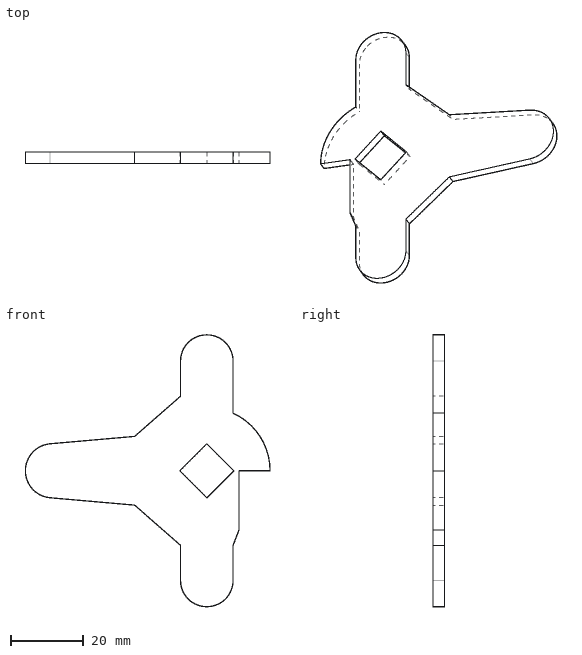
import cadquery as cq
import math

thickness = 3.2
arm_reach = 37.5
arm_radius = 7.3
handle_reach = 50.0
handle_radius = 7.5
handle_taper = math.radians(5)
knee_x = -19.9
shoulder_z = 20.55

cam_radius = 17.5
step_x = 8.9
step_bottom_z = -16.3

hole_half_diagonal = 7.4

arm_center_z = arm_reach - arm_radius
handle_center_x = handle_radius - handle_reach
tangent_x = handle_center_x - handle_radius * math.sin(handle_taper)
tangent_z = handle_radius * math.cos(handle_taper)
knee_z = tangent_z + (knee_x - tangent_x) * math.tan(handle_taper)

cam_start_angle = math.acos(arm_radius / cam_radius)
cam_start_z = cam_radius * math.sin(cam_start_angle)
cam_middle = (
    cam_radius * math.cos(cam_start_angle / 2),
    cam_radius * math.sin(cam_start_angle / 2),
)


def make_plate():
    """Three-armed plate with the cam and its step, centred on Y = 0."""
    return (
        cq.Workplane("XZ")
        .moveTo(tangent_x, tangent_z)
        .lineTo(knee_x, knee_z)
        .lineTo(-arm_radius, shoulder_z)
        .lineTo(-arm_radius, arm_center_z)
        .threePointArc((0, arm_reach), (arm_radius, arm_center_z))
        .lineTo(arm_radius, cam_start_z)
        .threePointArc(cam_middle, (cam_radius, 0))
        .lineTo(step_x, 0)
        .lineTo(step_x, step_bottom_z)
        .lineTo(arm_radius, -shoulder_z)
        .lineTo(arm_radius, -arm_center_z)
        .threePointArc((0, -arm_reach), (-arm_radius, -arm_center_z))
        .lineTo(-arm_radius, -shoulder_z)
        .lineTo(knee_x, -knee_z)
        .lineTo(tangent_x, -tangent_z)
        .threePointArc((-handle_reach, 0), (tangent_x, tangent_z))
        .close()
        .extrude(thickness / 2, both=True)
    )


def make_square_hole():
    """Square through cutter standing on one corner."""
    return (
        cq.Workplane("XZ")
        .polygon(4, 2 * hole_half_diagonal)
        .extrude(thickness, both=True)
    )


result = make_plate().cut(make_square_hole())